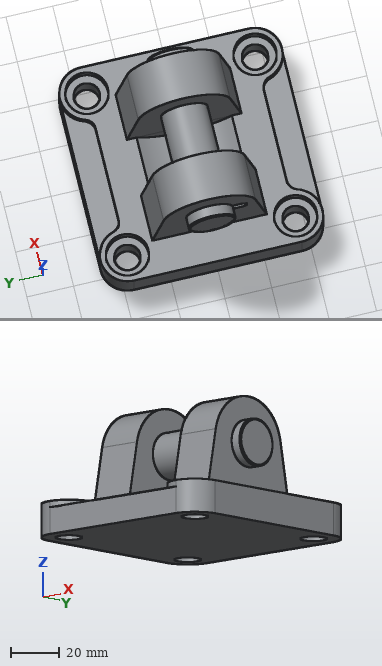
import math

import cadquery as cq

PLATE_SIDE = 95.0
PLATE_THICKNESS = 14.0
HOLE_SPACING = 72.0
HOLE_OFFSET = HOLE_SPACING / 2
CORNER_RADIUS = (PLATE_SIDE - HOLE_SPACING) / 2
HOLE_DIAMETER = 11.0
COUNTERBORE_DIAMETER = 18.0
COUNTERBORE_DEPTH = 4.0

RECESS_DEPTH = 2.7
RECESS_FILLET = 5.0

LUG_OUTER_SPAN = 65.0
LUG_GAP = 25.0
LUG_WIDTH = (LUG_OUTER_SPAN - LUG_GAP) / 2
LUG_RADIUS = 20.0
LUG_DRAFT = math.radians(10.7)
PIVOT_HEIGHT = 36.0
SADDLE_RADIUS = 30.0

PIN_DIAMETER = 20.0
PIN_LENGTH = 75.0
PIN_CHAMFER = 0.5
SLOT_WIDTH = 4.5
SLOT_REACH = 16.0
SLOT_DEPTH = 4.0


def make_plate():
    """Square plate with rounded corners, standing on Z = 0."""
    plate = cq.Workplane("XY").rect(PLATE_SIDE, PLATE_SIDE).extrude(PLATE_THICKNESS)
    return plate.edges("|Z").fillet(CORNER_RADIUS)


def make_edge_recess():
    """Cutter for the -Y recess, which curves around the two corner pads."""
    edge_y = -PLATE_SIDE / 2
    inner_y = -HOLE_OFFSET

    center_distance = CORNER_RADIUS + RECESS_FILLET
    fillet_dx = math.sqrt(center_distance**2 - RECESS_FILLET**2)
    fillet_x = HOLE_OFFSET - fillet_dx
    fillet_y = inner_y - RECESS_FILLET
    pad_share = CORNER_RADIUS / center_distance
    touch_x = HOLE_OFFSET - fillet_dx * pad_share
    touch_y = inner_y - RECESS_FILLET * pad_share

    fillet_angle = math.atan2(RECESS_FILLET, fillet_dx)
    pad_mid_angle = (fillet_angle + math.pi / 2) / 2
    pad_mid_x = HOLE_OFFSET - CORNER_RADIUS * math.cos(pad_mid_angle)
    pad_mid_y = inner_y - CORNER_RADIUS * math.sin(pad_mid_angle)
    fillet_mid_x = fillet_x + RECESS_FILLET * math.cos(pad_mid_angle)
    fillet_mid_y = fillet_y + RECESS_FILLET * math.sin(pad_mid_angle)

    return (
        cq.Workplane("XY", origin=(0, 0, PLATE_THICKNESS - RECESS_DEPTH))
        .moveTo(-HOLE_OFFSET, edge_y)
        .threePointArc((-pad_mid_x, pad_mid_y), (-touch_x, touch_y))
        .threePointArc((-fillet_mid_x, fillet_mid_y), (-fillet_x, inner_y))
        .lineTo(fillet_x, inner_y)
        .threePointArc((fillet_mid_x, fillet_mid_y), (touch_x, touch_y))
        .threePointArc((pad_mid_x, pad_mid_y), (HOLE_OFFSET, edge_y))
        .close()
        .extrude(RECESS_DEPTH)
    )


def cut_mounting_holes(body):
    """Counterbored through hole at each corner."""
    return (
        body.faces(">Z")
        .workplane(origin=(0, 0, 0))
        .rect(HOLE_SPACING, HOLE_SPACING, forConstruction=True)
        .vertices()
        .cboreHole(HOLE_DIAMETER, COUNTERBORE_DIAMETER, COUNTERBORE_DEPTH)
    )


def cylinder_along_x(diameter, length):
    """Cylinder on the pivot axis, centred on X = 0."""
    return (
        cq.Workplane("YZ", origin=(-length / 2, 0, PIVOT_HEIGHT))
        .circle(diameter / 2)
        .extrude(length)
    )


def make_lug(start_x):
    """Tapered lug with a round top, its sides tangent to the top arc."""
    tangent_y = LUG_RADIUS * math.cos(LUG_DRAFT)
    tangent_z = PIVOT_HEIGHT + LUG_RADIUS * math.sin(LUG_DRAFT)
    base_y = tangent_y + (tangent_z - PLATE_THICKNESS) * math.tan(LUG_DRAFT)
    return (
        cq.Workplane("YZ", origin=(start_x, 0, 0))
        .moveTo(-base_y, PLATE_THICKNESS)
        .lineTo(-tangent_y, tangent_z)
        .threePointArc((0, PIVOT_HEIGHT + LUG_RADIUS), (tangent_y, tangent_z))
        .lineTo(base_y, PLATE_THICKNESS)
        .close()
        .extrude(LUG_WIDTH)
    )


def make_locking_slot():
    """Cutter for the blind slot in the -X lug, from the pin axis to a round end at -Y."""
    round_center_y = -(SLOT_REACH - SLOT_WIDTH / 2)
    return (
        cq.Workplane("YZ", origin=(-LUG_OUTER_SPAN / 2, 0, PIVOT_HEIGHT))
        .center(round_center_y / 2, 0)
        .slot2D(-round_center_y + SLOT_WIDTH, SLOT_WIDTH)
        .extrude(SLOT_DEPTH)
    )


def make_pin():
    """Pivot pin with chamfered ends."""
    return cylinder_along_x(PIN_DIAMETER, PIN_LENGTH).faces("<X or >X").chamfer(PIN_CHAMFER)


edge_recess = make_edge_recess()
body = make_plate()
body = body.cut(edge_recess).cut(edge_recess.mirror("XZ"))
body = cut_mounting_holes(body)

body = body.cut(cylinder_along_x(2 * SADDLE_RADIUS, LUG_GAP))
for lug_start_x in (-LUG_OUTER_SPAN / 2, LUG_GAP / 2):
    body = body.union(make_lug(lug_start_x))

body = body.cut(make_locking_slot())
result = body.union(make_pin())